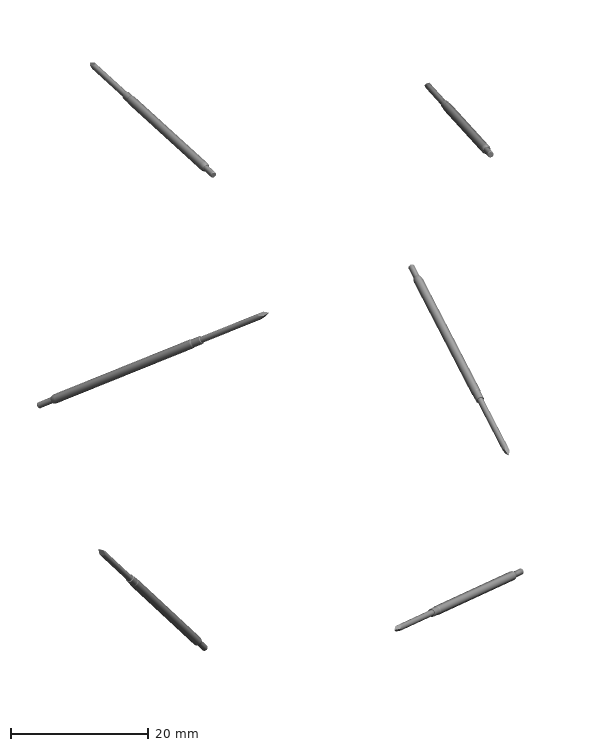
import cadquery as cq
import math


PIN_DIAMETER = 0.92
COLLAR_DIAMETER = 1.23
BARREL_DIAMETER = 1.37

COLLAR_START = 11.6
BARREL_START = 13.05
BARREL_END = 37.22
OVERALL_LENGTH = 39.62

COLLAR_CHAMFER = 0.05
BARREL_FRONT_TAPER = 0.2
CRIMP_LENGTH = 0.62
CRIMP_END_DIAMETER = 1.0
TAIL_CHAMFER = 0.1

FACET_COUNT = 3
FACET_ANGLE = 15.4
FIRST_FACET_DIRECTION = -5.0


def cylinder_along_x(diameter, start, end):
    """Solid cylinder on the X axis between two stations."""
    return cq.Workplane("YZ", origin=(start, 0, 0)).circle(diameter / 2).extrude(end - start)


def facet_cutter(direction):
    """Block that removes everything outside one flat facet through the point."""
    pin_radius = PIN_DIAMETER / 2
    run = PIN_DIAMETER / math.tan(math.radians(FACET_ANGLE))
    outside_facet = [(0, 0), (run, PIN_DIAMETER), (-pin_radius, PIN_DIAMETER), (-pin_radius, 0)]
    block = cq.Workplane("XY").polyline(outside_facet).close().extrude(PIN_DIAMETER, both=True)
    return block.rotate((0, 0, 0), (1, 0, 0), direction)


def make_plunger():
    """Slender front pin ground to a three-sided point."""
    plunger = cylinder_along_x(PIN_DIAMETER, 0, COLLAR_START)
    for index in range(FACET_COUNT):
        direction = FIRST_FACET_DIRECTION + index * 360 / FACET_COUNT
        plunger = plunger.cut(facet_cutter(direction))
    return plunger


def make_collar():
    """Reduced neck at the front of the barrel."""
    collar = cylinder_along_x(COLLAR_DIAMETER, COLLAR_START, BARREL_START)
    return collar.faces("<X").chamfer(COLLAR_CHAMFER)


def make_barrel():
    """Main tube with a tapered front edge and a rounded crimp at the rear."""
    barrel_radius = BARREL_DIAMETER / 2
    crimp_start = BARREL_END - CRIMP_LENGTH
    profile = (
        cq.Workplane("XY")
        .moveTo(BARREL_START, 0)
        .lineTo(BARREL_START, COLLAR_DIAMETER / 2)
        .lineTo(BARREL_START + BARREL_FRONT_TAPER, barrel_radius)
        .lineTo(crimp_start, barrel_radius)
        .tangentArcPoint((BARREL_END, CRIMP_END_DIAMETER / 2), relative=False)
        .lineTo(BARREL_END, 0)
        .close()
    )
    return profile.revolve(360, (0, 0, 0), (1, 0, 0))


def make_tail():
    """Rear terminal pin with a chamfered end."""
    tail = cylinder_along_x(PIN_DIAMETER, BARREL_END, OVERALL_LENGTH)
    return tail.faces(">X").chamfer(TAIL_CHAMFER)


result = make_plunger().union(make_collar()).union(make_barrel()).union(make_tail())